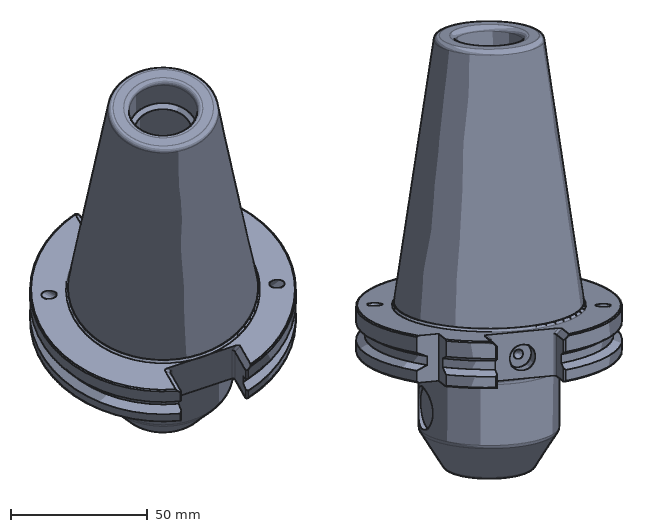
import cadquery as cq
import math

LENGTH = 164.6
GAUGE_Z = 62.9
FLANGE_TOP_Z = 61.9
FLANGE_BOTTOM_Z = 44.0
NOSE_CYLINDER_Z = 15.1

GAUGE_RADIUS = 34.9
TAPER_RATIO = 7 / 24
NECK_RADIUS = 34.7
NECK_FILLET = 0.8
FLANGE_RADIUS = 48.7
FLANGE_CHAMFER = 0.5
NOSE_RADIUS = 25.8
NOSE_ROOT_FILLET = 5.0
NOSE_TIP_RADIUS = 16.5
NOSE_SHOULDER_FILLET = 2.5
NOSE_TIP_FILLET = 2.5
TAPER_TIP_FILLET = 2.0

GROOVE_RADIUS = 45.6
GROOVE_Z = 52.0
GROOVE_FLOOR_WIDTH = 3.3
GROOVE_SIDE_ANGLE = 30.0

SLOT_WIDTH = 25.7
SLOT_LEFT_FLOOR = 37.4
SLOT_RIGHT_FLOOR = 35.4
SLOT_ROOT_FILLET = 0.8
SLOT_TOP_CHAMFER = 2.1
SLOT_MOUTH_X = 46.1
NOTCH_OFFSET = 30.0
CHIP_HOLE_RADIUS = 5.0
CHIP_HOLE_DEPTH = 4.6
CHIP_TIP_RADIUS = 1.8
CHIP_TIP_DEPTH = 1.0
COOLANT_RADIUS = 2.0
COOLANT_PITCH_RADIUS = 41.8
COOLANT_ANGLES = (70, 250)

BORE_RADIUS = 10.0
DRAWBAR_RADIUS = 10.5
COUNTERBORE_RADIUS = 12.5
COUNTERBORE_DEPTH = 12.2
COUNTERBORE_FILLET = 2.0
CONE_ANGLE = 30.0
SCREW_RADIUS = 8.0
SCREW_Z = 25.0
SCREW_TIP_Y = 7.7
SCREW_LENGTH = 16.0
SCREW_TIP_CHAMFER = 1.5


def round_ring(body, radius, z, fillet):
    """Fillet the circular edges of the given radius at height z."""
    reach = 0.02
    ring = [
        edge for edge in body.edges("%CIRCLE").vals()
        if abs(edge.radius() - radius) < reach and abs(edge.Center().z - z) < reach
    ]
    return body.newObject(ring).fillet(fillet)


def revolved(points):
    """Revolve a closed (radius, z) outline around the Z axis."""
    return cq.Workplane("XZ").polyline(points).close().revolve(360, (0, 0), (0, 1))


def turned_body():
    """Nose, flange, neck and steep taper, with their roundings."""
    tip_radius = GAUGE_RADIUS - (LENGTH - GAUGE_Z) * TAPER_RATIO / 2
    rim_radius = FLANGE_RADIUS - FLANGE_CHAMFER
    body = revolved([
        (0, 0),
        (NOSE_TIP_RADIUS, 0),
        (NOSE_RADIUS, NOSE_CYLINDER_Z),
        (NOSE_RADIUS, FLANGE_BOTTOM_Z),
        (rim_radius, FLANGE_BOTTOM_Z),
        (FLANGE_RADIUS, FLANGE_BOTTOM_Z + FLANGE_CHAMFER),
        (FLANGE_RADIUS, FLANGE_TOP_Z - FLANGE_CHAMFER),
        (rim_radius, FLANGE_TOP_Z),
        (NECK_RADIUS, FLANGE_TOP_Z),
        (NECK_RADIUS, GAUGE_Z),
        (GAUGE_RADIUS, GAUGE_Z),
        (tip_radius, LENGTH),
        (0, LENGTH),
    ])
    body = round_ring(body, NOSE_TIP_RADIUS, 0, NOSE_TIP_FILLET)
    body = round_ring(body, NOSE_RADIUS, NOSE_CYLINDER_Z, NOSE_SHOULDER_FILLET)
    body = round_ring(body, NOSE_RADIUS, FLANGE_BOTTOM_Z, NOSE_ROOT_FILLET)
    body = round_ring(body, NECK_RADIUS, FLANGE_TOP_Z, NECK_FILLET)
    return round_ring(body, tip_radius, LENGTH, TAPER_TIP_FILLET)


def gripper_groove():
    """Ring with a trapezoid section that forms the gripper groove."""
    depth = FLANGE_RADIUS - GROOVE_RADIUS
    floor_half = GROOVE_FLOOR_WIDTH / 2
    mouth_half = floor_half + depth * math.tan(math.radians(GROOVE_SIDE_ANGLE))
    return revolved([
        (GROOVE_RADIUS, GROOVE_Z - floor_half),
        (FLANGE_RADIUS, GROOVE_Z - mouth_half),
        (FLANGE_RADIUS, GROOVE_Z + mouth_half),
        (GROOVE_RADIUS, GROOVE_Z + floor_half),
    ])


def drive_slot(floor_x):
    """Slot through the flange on the +X side, with its rounded root, flared mouth and top chamfers."""
    half = SLOT_WIDTH / 2
    flare = FLANGE_RADIUS - SLOT_MOUTH_X
    height = FLANGE_TOP_Z - FLANGE_BOTTOM_Z
    channel = (
        cq.Workplane("XY", origin=(0, 0, FLANGE_BOTTOM_Z))
        .polyline([
            (floor_x, -half),
            (SLOT_MOUTH_X, -half),
            (FLANGE_RADIUS, -half - flare),
            (FLANGE_RADIUS, half + flare),
            (SLOT_MOUTH_X, half),
            (floor_x, half),
        ])
        .close()
        .extrude(height)
        .edges("|Z and <X")
        .fillet(SLOT_ROOT_FILLET)
    )
    top_chamfer = (
        cq.Workplane("YZ", origin=(floor_x, 0, 0))
        .polyline([
            (-half, FLANGE_TOP_Z - SLOT_TOP_CHAMFER),
            (half, FLANGE_TOP_Z - SLOT_TOP_CHAMFER),
            (half + SLOT_TOP_CHAMFER, FLANGE_TOP_Z),
            (-half - SLOT_TOP_CHAMFER, FLANGE_TOP_Z),
        ])
        .close()
        .extrude(FLANGE_RADIUS - floor_x)
        .edges("<X and (not |Y)")
        .fillet(SLOT_ROOT_FILLET)
    )
    return channel.union(top_chamfer)


def orientation_notch():
    """Square corner cut through the flange at its -X, +Y side."""
    size = FLANGE_RADIUS - NOTCH_OFFSET
    height = FLANGE_TOP_Z - FLANGE_BOTTOM_Z
    return cq.Workplane("XY").box(size, size, height, centered=False).translate(
        (-FLANGE_RADIUS, NOTCH_OFFSET, FLANGE_BOTTOM_Z)
    )


def chip_hole():
    """Blind hole in the floor of the -X slot, ending in a small conical point."""
    outline = [
        (0, 0),
        (CHIP_HOLE_RADIUS, 0),
        (CHIP_HOLE_RADIUS, -CHIP_HOLE_DEPTH),
        (CHIP_TIP_RADIUS, -CHIP_HOLE_DEPTH),
        (0, -CHIP_HOLE_DEPTH - CHIP_TIP_DEPTH),
    ]
    upright = revolved(outline)
    return upright.rotate((0, 0, 0), (0, 1, 0), -90).translate((-SLOT_LEFT_FLOOR, 0, GROOVE_Z))


def coolant_hole(angle):
    """Hole sloping down at 45 degrees from the flange top into the tool bore."""
    mouth = cq.Vector(COOLANT_PITCH_RADIUS, 0, FLANGE_TOP_Z)
    inward = cq.Vector(-1, 0, -1).normalized()
    start = mouth - inward * (2 * COOLANT_RADIUS)
    length = COOLANT_PITCH_RADIUS * math.sqrt(2) + 2 * COOLANT_RADIUS
    drill = cq.Solid.makeCylinder(COOLANT_RADIUS, length, start, inward)
    return drill.rotate(cq.Vector(0, 0, 0), cq.Vector(0, 0, 1), angle)


def through_bore():
    """Tool bore, drawbar thread, conical seat and counterbore along the axis."""
    floor_z = LENGTH - COUNTERBORE_DEPTH
    seat = (COUNTERBORE_RADIUS - DRAWBAR_RADIUS) * math.tan(math.radians(CONE_ANGLE))
    return revolved([
        (0, 0),
        (BORE_RADIUS, 0),
        (BORE_RADIUS, GAUGE_Z),
        (DRAWBAR_RADIUS, GAUGE_Z),
        (DRAWBAR_RADIUS, floor_z - seat),
        (COUNTERBORE_RADIUS, floor_z),
        (COUNTERBORE_RADIUS, LENGTH),
        (0, LENGTH),
    ])


def radial_cylinder(start_y, length):
    """Cylinder of the set screw's radius, pointing along +Y at the screw's height."""
    return cq.Workplane("XY").add(cq.Solid.makeCylinder(
        SCREW_RADIUS, length, cq.Vector(0, start_y, SCREW_Z), cq.Vector(0, 1, 0)
    ))


def tool_holder():
    """Taper shank, flange and nose in one solid."""
    holder = turned_body().cut(through_bore())
    holder = round_ring(holder, COUNTERBORE_RADIUS, LENGTH, COUNTERBORE_FILLET)
    holder = holder.cut(gripper_groove())
    holder = holder.cut(drive_slot(SLOT_RIGHT_FLOOR))
    holder = holder.cut(drive_slot(SLOT_LEFT_FLOOR).rotate((0, 0, 0), (0, 0, 1), 180))
    holder = holder.cut(orientation_notch())
    holder = holder.cut(chip_hole())
    for angle in COOLANT_ANGLES:
        holder = holder.cut(cq.Workplane("XY").add(coolant_hole(angle)))
    return holder.cut(radial_cylinder(0, NOSE_RADIUS))


def set_screw():
    """Clamping screw with a chamfered tip that reaches into the tool bore."""
    return radial_cylinder(SCREW_TIP_Y, SCREW_LENGTH).faces("<Y").chamfer(SCREW_TIP_CHAMFER)


holder = tool_holder().solids()
screw = set_screw().solids()
result = cq.Compound.makeCompound([holder.val(), screw.val()])